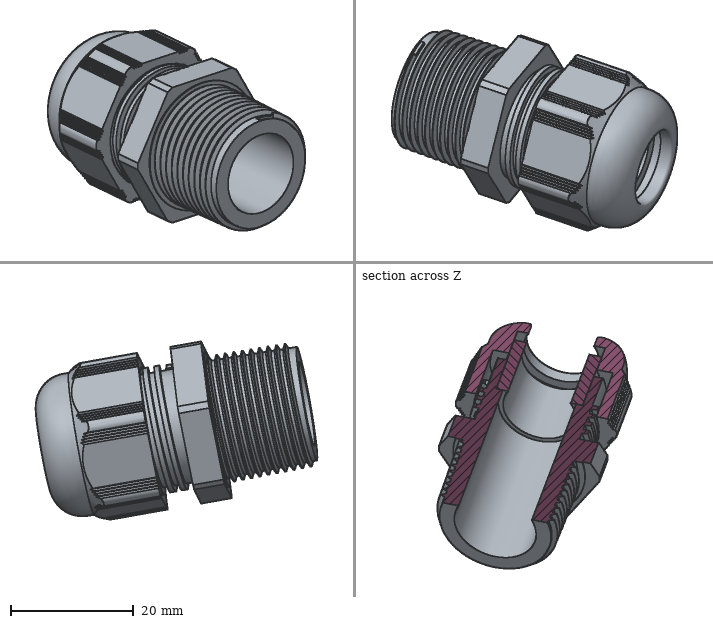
import cadquery as cq
import math


lip_back = 2.3
seal_front = 4.3
dome_end = 5.31
band_end = 6.26
cavity_front = 7.5
body_front = 9.0
seal_back = 16.0
nut_back = 17.93
flange_front = 23.5
flange_back = 28.55
collar_back = 28.7
body_back = 43.52

across_flats = 24.0
nut_across_corners = 27.16
flange_across_corners = 27.04
apothem = across_flats / 2
sharp_corner = apothem / math.cos(math.radians(30))

dome_diameter = 23.5
front_face_diameter = 14.64
lip_diameter = 12.67
lip_rounding = 0.46
corner_rounding = 1.11
chamber_diameter = 16.0
cavity_diameter = 21.14
chamfer_angle = 37.5
groove_count = 4
groove_pitch = 0.485
groove_depth = groove_pitch / 2 / math.tan(math.radians(30))
groove_start = 3.84

seal_diameter = 16.0
seal_bore = 12.24

neck_diameter = 18.79
body_bore = 13.8
collar_diameter = 22.26
cone_diameter = 19.29
stub_end_diameter = neck_diameter

neck_pitch = 1.9
neck_turns = 4
neck_tooth_height = 0.95
neck_tooth_root = 1.05
neck_tooth_tip = 0.85
neck_end_x = 22.43
neck_end_angle = 161.5
neck_runout_angle = 10.0
neck_runout_height = 0.25

stub_pitch = 1.41
stub_turns = 10.5
stub_tooth_height = 0.8
stub_tooth_root = 1.0
stub_tooth_tip = 0.1
stub_end_x = 42.85
stub_end_angle = 90.0
stub_runout_angle = 18.0
stub_runout_height = 0.33

root_overlap = 0.15
taper_slope = (cone_diameter - stub_end_diameter) / 2 / (body_back - collar_back)


def disc(diameter, x_start, x_end):
    return cq.Workplane("YZ", origin=(x_start, 0, 0)).circle(diameter / 2).extrude(x_end - x_start)


def hexagon(width, x_start, x_end):
    """Sharp hexagonal prism with two flats, a width apart, facing +Z and -Z."""
    outline = cq.Workplane("YZ", origin=(x_start, 0, 0)).polygon(6, width / math.cos(math.radians(30)))
    return outline.extrude(x_end - x_start)


def blunt_hexagon(across_corners, x_start, x_end):
    """Hexagonal prism with flats facing +Z and -Z, and every corner cut off square."""
    prism = hexagon(across_flats, x_start, x_end)
    corner_cut = hexagon(across_corners, x_start, x_end).rotate((0, 0, 0), (1, 0, 0), 30)
    return prism.intersect(corner_cut)


def thread(pitch, turns, end_x, end_angle, end_radius, slope, height, root_width, tip_width):
    """Right-hand helical tooth along X that finishes at end_x and end_angle; slope is the taper."""
    length = pitch * turns
    start_radius = end_radius + slope * length
    root = start_radius - root_overlap
    tip = start_radius + height
    taper = -math.degrees(math.atan(slope))
    if slope:
        helix = cq.Wire.makeHelix(pitch, length, start_radius, angle=taper)
    else:
        helix = cq.Wire.makeHelix(pitch, length, start_radius)
    tooth = cq.Workplane("XZ").polyline([
        (root, -root_width / 2),
        (tip, -tip_width / 2),
        (tip, tip_width / 2),
        (root, root_width / 2),
    ]).close().sweep(cq.Workplane(helix), isFrenet=True)
    along_x = tooth.rotate((0, 0, 0), (0, 1, 0), 90)
    start_angle = end_angle - 360 * turns
    turned = along_x.rotate((0, 0, 0), (1, 0, 0), start_angle - 270)
    return turned.translate((end_x - length, 0, 0))


def thread_with_runout(pitch, turns, end_x, end_angle, end_radius, slope,
                       height, root_width, tip_width, runout_angle, runout_height):
    """Full-height tooth, followed by a short low piece of the same flanks."""
    runout_turns = runout_angle / 360
    runout_length = pitch * runout_turns
    runout_tip = root_width - (root_width - tip_width) * runout_height / height
    full = thread(pitch, turns - runout_turns, end_x - runout_length, end_angle - runout_angle,
                  end_radius + slope * runout_length, slope, height, root_width, tip_width)
    low = thread(pitch, runout_turns, end_x, end_angle,
                 end_radius, slope, runout_height, root_width, runout_tip)
    return full, low


def make_nut():
    dome_radius = dome_diameter / 2
    face_radius = front_face_diameter / 2
    lip_radius = lip_diameter / 2
    corner_distance = nut_across_corners / 2
    chamfer_end = band_end + (corner_distance - dome_radius) / math.tan(math.radians(chamfer_angle))

    rise = dome_radius - face_radius
    arc_radius = (dome_end ** 2 + rise ** 2) / (2 * rise)
    arc_centre = dome_radius - arc_radius
    half_turn = math.atan2(dome_end, face_radius - arc_centre) / 2
    arc_middle = (dome_end - arc_radius * math.sin(half_turn),
                  arc_centre + arc_radius * math.cos(half_turn))
    rounding_middle = lip_rounding * (1 - math.sqrt(0.5))
    envelope = (
        cq.Workplane("XY")
        .moveTo(lip_rounding, lip_radius)
        .threePointArc((rounding_middle, lip_radius + rounding_middle), (0, lip_radius + lip_rounding))
        .lineTo(0, face_radius)
        .threePointArc(arc_middle, (dome_end, dome_radius))
        .lineTo(band_end, dome_radius)
        .lineTo(chamfer_end, corner_distance)
        .lineTo(chamfer_end, sharp_corner)
        .lineTo(nut_back, sharp_corner)
        .lineTo(nut_back, cavity_diameter / 2)
        .lineTo(cavity_front, cavity_diameter / 2)
        .lineTo(cavity_front, chamber_diameter / 2)
        .lineTo(lip_back, chamber_diameter / 2)
        .lineTo(lip_back, lip_radius)
        .close()
        .revolve(360, (0, 0, 0), (1, 0, 0))
    )
    prism = blunt_hexagon(nut_across_corners, 0, nut_back).edges("|X").fillet(corner_rounding)
    return envelope.intersect(prism.cut(grip_grooves()))


def grip_grooves():
    """V grooves along X, in a row on both ends of every flat."""
    row = [(groove_start, apothem)]
    for index in range(groove_count):
        left = groove_start + index * groove_pitch
        row.append((left + groove_pitch / 2, apothem - groove_depth))
        row.append((left + groove_pitch, apothem))
    top = apothem + groove_depth
    row.append((row[-1][0], top))
    row.append((groove_start, top))
    one_end = cq.Workplane("YZ").polyline(row).close().extrude(nut_back)
    both_ends = one_end.union(one_end.mirror("XZ"))
    grooves = both_ends
    for index in range(1, 6):
        grooves = grooves.union(both_ends.rotate((0, 0, 0), (1, 0, 0), 60 * index))
    return grooves


def make_seal():
    return disc(seal_diameter, seal_front, seal_back).cut(disc(seal_bore, seal_front, seal_back))


def make_body():
    neck = disc(neck_diameter, body_front, flange_front)
    flange = blunt_hexagon(flange_across_corners, flange_front, flange_back)
    collar = disc(collar_diameter, flange_back, collar_back)
    stub = (
        cq.Workplane("XY")
        .moveTo(collar_back, 0)
        .lineTo(collar_back, cone_diameter / 2)
        .lineTo(body_back, stub_end_diameter / 2)
        .lineTo(body_back, 0)
        .close()
        .revolve(360, (0, 0, 0), (1, 0, 0))
    )
    body = neck.union(flange).union(collar).union(stub)
    body = body.cut(disc(body_bore, body_front, body_back))
    body = body.cut(disc(seal_diameter, body_front, seal_back))

    neck_thread = thread_with_runout(
        neck_pitch, neck_turns, neck_end_x, neck_end_angle, neck_diameter / 2, 0,
        neck_tooth_height, neck_tooth_root, neck_tooth_tip, neck_runout_angle, neck_runout_height)
    end_radius = stub_end_diameter / 2 + taper_slope * (body_back - stub_end_x)
    stub_thread = thread_with_runout(
        stub_pitch, stub_turns, stub_end_x, stub_end_angle, end_radius, taper_slope,
        stub_tooth_height, stub_tooth_root, stub_tooth_tip, stub_runout_angle, stub_runout_height)
    for tooth in neck_thread + stub_thread:
        body = body.union(tooth)
    return body


nut = make_nut()
seal = make_seal()
body = make_body()

result = cq.Compound.makeCompound([*nut.solids().vals(), *seal.solids().vals(), *body.solids().vals()])